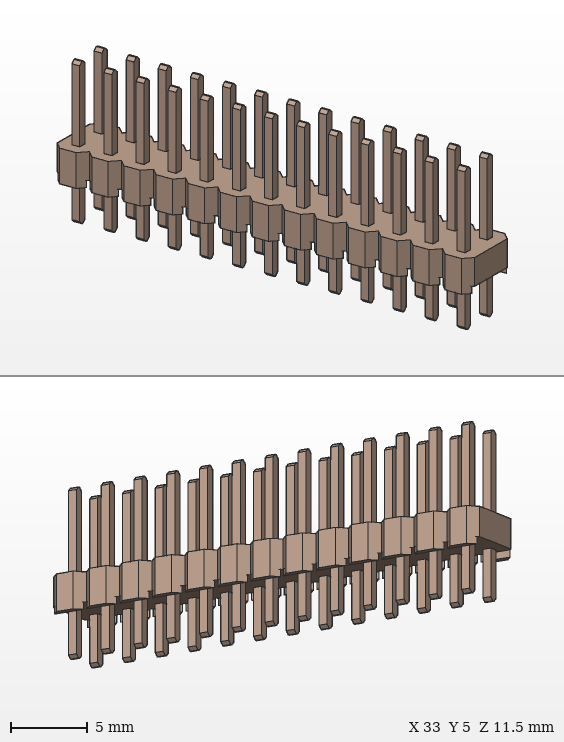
import cadquery as cq


LENGTH = 33.03
BODY_WIDTH = 5.0
BODY_HEIGHT = 2.55

COLUMNS = 13
ROWS = 2
PITCH = LENGTH / COLUMNS

CORNER_CUT = 0.63
FOOT_WIDTH = 0.5
CHANNEL_DEPTH = 0.5

PIN_SIDE = 0.63
PIN_ABOVE_BODY = 5.98
PIN_BELOW_BODY = 3.0
TIP_HEIGHT = 0.23
TIP_THICKNESS = 0.13


def grid_positions(count):
    """Centred positions of a row of cells, one pitch apart."""
    return [(index - (count - 1) / 2) * PITCH for index in range(count)]


def make_body():
    """Row of octagonal cells standing on two rows of feet."""
    body = cq.Workplane("XY")
    for x in grid_positions(COLUMNS):
        cell = (
            cq.Workplane("XY")
            .center(x, 0)
            .rect(PITCH, BODY_WIDTH)
            .extrude(BODY_HEIGHT)
            .edges("|Z")
            .chamfer(CORNER_CUT)
        )
        body = body.union(cell)
    channel = (
        cq.Workplane("XY")
        .rect(LENGTH, BODY_WIDTH - 2 * FOOT_WIDTH)
        .extrude(CHANNEL_DEPTH)
    )
    return body.cut(channel).clean()


def make_pin():
    """Square pin on the Z axis, tapered in Y only at both ends."""
    top = BODY_HEIGHT + PIN_ABOVE_BODY
    bottom = -PIN_BELOW_BODY
    half_side = PIN_SIDE / 2
    half_tip = TIP_THICKNESS / 2
    profile = [
        (-half_tip, bottom),
        (half_tip, bottom),
        (half_side, bottom + TIP_HEIGHT),
        (half_side, top - TIP_HEIGHT),
        (half_tip, top),
        (-half_tip, top),
        (-half_side, top - TIP_HEIGHT),
        (-half_side, bottom + TIP_HEIGHT),
    ]
    return cq.Workplane("YZ").polyline(profile).close().extrude(half_side, both=True)


def make_pins():
    """All pins of the grid."""
    pin = make_pin().val()
    return [
        pin.translate(cq.Vector(x, y, 0))
        for x in grid_positions(COLUMNS)
        for y in grid_positions(ROWS)
    ]


result = cq.Workplane(make_body().val().fuse(*make_pins()))